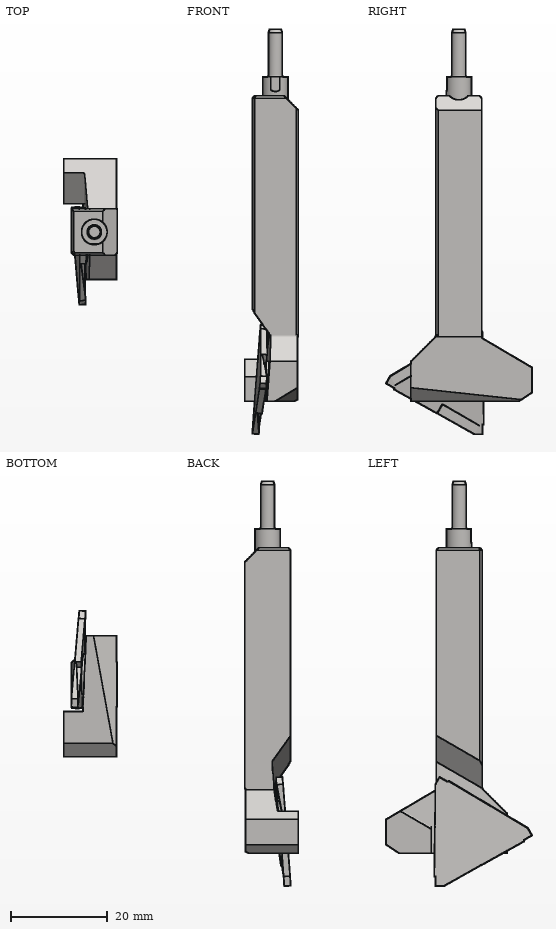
import cadquery as cq
import math


shank_width = 9.5
half_shank = shank_width / 2
shank_bottom = -49.8
edge_chamfer = 0.5
corner_chamfer = 3.0
collar_diameter = 5.3
collar_height = 3.85
collar_flat_width = 1.8
collar_flat_height = 2.7
collar_flat_sag = 0.3
pin_diameter = 2.9
pin_top = 13.7
pin_tip_height = 0.75
pin_tip_inset = 0.25
pin_fillet = 0.3

head_left = -6.35
head_right = 4.6
head_front = -9.9
head_back = 15.1
head_bottom = -63.1
head_back_top = -56.1
head_back_bottom = -61.3
head_bottom_back = 12.4
head_front_top = shank_bottom + half_shank + head_front
head_back_start = -50.0
neck_fillet = 0.8

relief_width = 4.8
relief_height = 2.85
relief_runout = 4.0
relief_length = head_bottom_back - head_front

slope = math.radians(30)
lean = math.radians(5)
pocket_top = -36.0
seat_top = -40.65
seat_top_x = -0.9
pocket_floor = -53.2
tooth_front = 5.8
floor_fillet = 0.4

tip_count = 3
insert_along = 31.2
insert_rise = -50.1
insert_inradius = 6.9
insert_thickness = 1.9
plate_thickness = 1.3
tip_trim = 1.0
tip_land = 2.0
land_step = 0.25
boss_radius = 4.2
tip_relief_length = 8.8
tip_relief_depth = 1.0
tip_relief_width = 2.1

clear = 50.2

pick_margin = 0.1

along = cq.Vector(0, -math.cos(slope), -math.sin(slope))
rise = cq.Vector(0, -math.sin(slope), math.cos(slope))


def seat_x(height):
    """X of the leaning seat at a given height measured along the rise direction."""
    return seat_top_x + (height - seat_top) * math.tan(lean)


def make_shank():
    """Square bar with chamfered front and upper edges and one large upper corner chamfer."""
    bar = cq.Workplane("XY").rect(shank_width, shank_width).extrude(shank_bottom)
    bar = bar.edges("|Z and <Y").chamfer(edge_chamfer)
    bar = bar.faces(">Z").chamfer(edge_chamfer)
    corner = (
        cq.Workplane("XZ", origin=(half_shank, 0, 0))
        .polyline([(-corner_chamfer, 0), (0, 0), (0, -corner_chamfer)])
        .close()
        .extrude(shank_width, both=True)
    )
    return bar.cut(corner)


def make_pin():
    """Collar with a small flat at the front, and the pin with its conical tip."""
    collar_radius = collar_diameter / 2
    pin_radius = pin_diameter / 2
    collar = (
        cq.Workplane("XY", origin=(0, 0, -corner_chamfer))
        .circle(collar_radius)
        .extrude(collar_height + corner_chamfer)
    )
    flat_y = -math.sqrt(collar_radius**2 - (collar_flat_width / 2) ** 2)
    half_flat = collar_flat_width / 2
    flat_bottom = collar_height - collar_flat_height
    flat = (
        cq.Workplane("XZ", origin=(0, flat_y, 0))
        .moveTo(-half_flat, collar_height)
        .lineTo(-half_flat, flat_bottom)
        .threePointArc((0, flat_bottom - collar_flat_sag), (half_flat, flat_bottom))
        .lineTo(half_flat, collar_height)
        .close()
        .extrude(collar_radius)
    )
    pin = cq.Workplane("XY").circle(pin_radius).extrude(pin_top)
    pin = pin.faces(">Z").chamfer(pin_tip_height, pin_tip_inset)
    stepped = collar.cut(flat).union(pin)
    pick_reach = pin_radius + pick_margin
    base = cq.selectors.BoxSelector(
        (-pick_reach, -pick_reach, collar_height - pick_margin),
        (pick_reach, pick_reach, collar_height + pick_margin),
        boundingbox=True,
    )
    return stepped.edges(base).fillet(pin_fillet)


def make_head():
    """Head block with sloping shoulders and a flat across the lower +X corner."""
    turn = math.radians(45)
    tangent = neck_fillet * math.tan(turn / 2)
    neck_top = shank_bottom + tangent
    neck_middle = (
        -half_shank - neck_fillet * (1 - math.cos(turn / 2)),
        neck_top - neck_fillet * math.sin(turn / 2),
    )
    neck_end = (
        -half_shank - tangent * math.sin(turn),
        shank_bottom - tangent * math.cos(turn),
    )
    block = (
        cq.Workplane("YZ", origin=(head_left, 0, 0))
        .moveTo(half_shank, head_back_start)
        .lineTo(head_back, head_back_top)
        .lineTo(head_back, head_back_bottom)
        .lineTo(head_bottom_back, head_bottom)
        .lineTo(head_front, head_bottom)
        .lineTo(head_front, head_front_top)
        .lineTo(*neck_end)
        .threePointArc(neck_middle, (-half_shank, neck_top))
        .lineTo(half_shank, neck_top)
        .close()
        .extrude(head_right - head_left)
    )
    up_front_face = cq.Vector(relief_width, 0, relief_height)
    along_bottom = cq.Vector(relief_runout, relief_length, 0)
    relief_plane = cq.Plane(
        origin=(head_right - relief_width, head_front, head_bottom),
        xDir=along_bottom,
        normal=along_bottom.cross(up_front_face),
    )
    relief = cq.Workplane(relief_plane).rect(2 * clear, 2 * clear).extrude(clear)
    return block.cut(relief)


def pocket_prism(bottom):
    """Space on the -X side of the seat, from the sloped upper wall down to the given height."""
    profile = [
        (-half_shank, pocket_top),
        (seat_top_x, seat_top),
        (seat_x(bottom), bottom),
        (-clear, bottom),
        (-clear, pocket_top),
    ]
    plane = cq.Plane(origin=(0, 0, 0), xDir=(1, 0, 0), normal=along)
    return cq.Workplane(plane).polyline(profile).close().extrude(2 * clear, both=True)


def make_pocket():
    """Pocket ending on the tooth, and open to the bottom in front of the tooth."""
    ahead_of_tooth = cq.Workplane("XY", origin=(0, tooth_front - clear, 0)).box(
        4 * clear, 2 * clear, 4 * clear
    )
    open_front = pocket_prism(2 * head_bottom).intersect(ahead_of_tooth)
    floor_corner = cq.Vector(seat_x(pocket_floor), 0, 0) + rise * pocket_floor
    closed = pocket_prism(pocket_floor)
    floor_edge = cq.selectors.NearestToPointSelector(floor_corner.toTuple())
    closed = closed.edges(floor_edge).fillet(floor_fillet)
    return closed.union(open_front)


def make_holder():
    """Shank, pin and head in one piece, with the pocket cut for the insert."""
    return make_shank().union(make_head()).union(make_pin()).cut(make_pocket())


def turned(point, degrees):
    """A point of the XY plane turned about the origin."""
    x, y = point
    angle = math.radians(degrees)
    return (
        x * math.cos(angle) - y * math.sin(angle),
        x * math.sin(angle) + y * math.cos(angle),
    )


def make_insert():
    """Three-sided plate, relieved underneath near its tips, on a boss against the seat."""
    seat = cq.Plane(
        origin=cq.Vector(seat_x(insert_rise), 0, 0) + along * insert_along + rise * insert_rise,
        xDir=along,
        normal=cq.Vector(-math.cos(lean), 0, 0) + rise * math.sin(lean),
    )
    half_side = insert_inradius * math.sqrt(3)
    underside = insert_thickness - plate_thickness
    edge_start = -half_side + tip_trim
    edge_end = half_side - 2 * tip_trim
    land_end = edge_start + tip_land
    side = [
        (edge_start, insert_inradius),
        (land_end, insert_inradius),
        (land_end, insert_inradius + land_step),
        (edge_end, insert_inradius),
    ]
    side_turns = [-360 / tip_count * k for k in range(tip_count)]
    outline = [turned(point, angle) for angle in side_turns for point in side]
    plate = (
        cq.Workplane("XY", origin=(0, 0, underside))
        .polyline(outline)
        .close()
        .extrude(plate_thickness)
    )
    tip_relief = (
        cq.Workplane("XZ", origin=(edge_end, insert_inradius - tip_relief_width, underside))
        .polyline([(0, 0), (-tip_relief_length, 0), (-tip_relief_length, tip_relief_depth)])
        .close()
        .extrude(-2 * tip_relief_width)
    )
    for angle in side_turns:
        plate = plate.cut(tip_relief.rotate((0, 0, 0), (0, 0, 1), angle))
    insert = plate.union(cq.Workplane("XY").circle(boss_radius).extrude(underside))
    return cq.Workplane(insert.val().located(cq.Location(seat)))


holder = make_holder()
insert = make_insert()
result = cq.Compound.makeCompound([holder.solids().val(), insert.solids().val()])